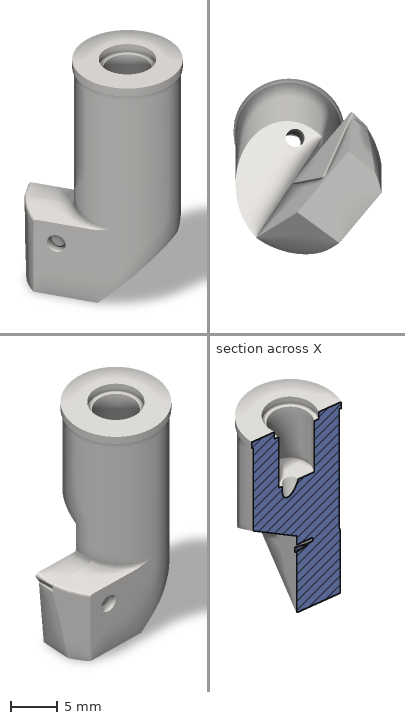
import cadquery as cq
import math


total_height = 28.0
collar_diameter = 12.0
collar_radius = collar_diameter / 2
collar_height = 1.0
shank_radius = 5.8
bore_radius = 2.6
bore_floor = 19.6
counterbore_radius = 3.1
counterbore_depth = 1.0

coolant_radius = 1.0
coolant_start = cq.Vector(-1.43, 0.8, bore_floor)
coolant_exit = cq.Vector(-3.85, 2.15, 14.28)
coolant_overrun = 1.4

insert_inscribed_radius = 3.15
insert_thickness = 2.38
insert_corner_radius = 0.4
relief_angle = 7.0
insert_face = 0.25
insert_x = -6.2
insert_z = 6.8
insert_back = insert_face - insert_thickness
insert_half_side = insert_inscribed_radius * math.sqrt(3)
insert_top = insert_z + insert_inscribed_radius
relief_slope = math.tan(math.radians(relief_angle))
insert_back_top = insert_top - insert_thickness * relief_slope

shelf_height = 9.97
shelf_fillet = 0.5
relief_top_fillet = 0.35
pocket_ceiling = 10.1
corner_relief_x = -10.65
corner_relief_floor = 8.68
front_corner_x = -8.82
heel_x = -1.45
heel_angle = 45.0
flank_x = -10.45
flank_slope_z = -0.08
flank_slope_y = -0.04
curve_start = (-11.03, insert_back)
curve_middle = (-10.28, -3.8)
curve_end = (front_corner_x, -shank_radius)

gullet_height = 10.7
gullet_slope_x = -0.58
gullet_slope_y = 0.63

screw_z = 6.65
screw_radius = 1.05
screw_head_radius = 1.8
screw_tip_chamfer = 0.35
screw_tip_recess = 0.75

margin = 16.8


def box(x_min, x_max, y_min, y_max, z_min, z_max):
    return cq.Workplane("XY").box(
        x_max - x_min, y_max - y_min, z_max - z_min, centered=False
    ).translate((x_min, y_min, z_min))


def insert_body():
    """Triangular prism that narrows from its +Y face by the relief angle."""
    outline = (
        cq.Sketch()
        .polygon([
            (-insert_half_side, insert_inscribed_radius),
            (insert_half_side, insert_inscribed_radius),
            (0, -2 * insert_inscribed_radius),
            (-insert_half_side, insert_inscribed_radius),
        ])
        .vertices()
        .fillet(insert_corner_radius)
    )
    return (
        cq.Workplane("XZ", origin=(insert_x, insert_face, insert_z))
        .placeSketch(outline)
        .extrude(insert_thickness, taper=relief_angle)
    )


def screw_body():
    """Countersunk screw, head flush with the insert, chamfered tip."""
    head_depth = screw_head_radius - screw_radius
    tip = -shank_radius + screw_tip_recess
    return (
        cq.Workplane("XY")
        .moveTo(0, insert_face)
        .lineTo(screw_head_radius, insert_face)
        .lineTo(screw_radius, insert_face - head_depth)
        .lineTo(screw_radius, tip + screw_tip_chamfer)
        .lineTo(screw_radius - screw_tip_chamfer, tip)
        .lineTo(0, tip)
        .close()
        .revolve(360, (0, 0, 0), (0, 1, 0))
        .translate((insert_x, 0, screw_z))
    )


def plain_shank():
    return cq.Workplane("XY").circle(shank_radius).extrude(total_height)


def collar():
    return (
        cq.Workplane("XY", origin=(0, 0, total_height - collar_height))
        .circle(collar_radius)
        .extrude(collar_height)
    )


def shank_on_shelf():
    """Shank standing on a wide sloping slab and blended into it all round."""
    rise = margin * relief_slope
    slab = (
        cq.Workplane("YZ", origin=(-margin, 0, 0))
        .polyline([
            (-margin, 0),
            (margin, 0),
            (margin, shelf_height + rise),
            (-margin, shelf_height - rise),
        ])
        .close()
        .extrude(2 * margin)
    )
    foot = cq.selectors.BoxSelector(
        (-shank_radius, -shank_radius, shelf_height - rise),
        (shank_radius, shank_radius, shelf_height + rise),
    )
    return slab.union(plain_shank()).edges(foot).edges("not %LINE").fillet(shelf_fillet)


def head_body():
    """Front left quarter of the blended slab, with the curved flank on its left."""
    outline = (
        cq.Workplane("XY")
        .lineTo(-margin, 0)
        .lineTo(-margin, insert_back)
        .lineTo(*curve_start)
        .threePointArc(curve_middle, curve_end)
        .lineTo(0, -shank_radius)
        .close()
        .extrude(total_height)
    )
    head = shank_on_shelf().intersect(outline)
    curved_edge = cq.selectors.BoxSelector(
        (-margin, -shank_radius, shelf_height - shank_radius * relief_slope),
        (front_corner_x, insert_back, shelf_height),
    )
    return head.edges(curved_edge).edges("not %LINE").fillet(relief_top_fillet)


def flank_waste():
    """Everything to the left of the flat flank."""
    normal = cq.Vector(-1, flank_slope_y, flank_slope_z)
    plane = cq.Plane(origin=(flank_x, 0, 0), xDir=(0, 0, 1), normal=normal)
    left = cq.Workplane(plane).rect(4 * margin, 4 * margin).extrude(margin)
    return left.intersect(box(-2 * margin, front_corner_x, -margin, margin, 0, pocket_ceiling))


def gullet_waste():
    """Everything on the +Y side of the chip face below the sloping roof."""
    normal = cq.Vector(gullet_slope_x, gullet_slope_y, -1)
    plane = cq.Plane(origin=(0, 0, gullet_height), xDir=(1, 0, gullet_slope_x), normal=normal)
    below = cq.Workplane(plane).rect(4 * margin, 4 * margin).extrude(2 * margin)
    return below.intersect(box(-margin, margin, 0, margin, -margin, total_height))


def heel_waste():
    """Slanted cut across the heel, opposite the insert."""
    heel_top = margin * math.tan(math.radians(heel_angle))
    return (
        cq.Workplane("XZ", origin=(0, margin, 0))
        .polyline([(heel_x, 0), (heel_x + margin, 0), (heel_x + margin, heel_top)])
        .close()
        .extrude(2 * margin)
    )


def coolant_passage():
    """Stepped bore from the top and the slanted hole into the gullet."""
    bore = cq.Workplane("XY", origin=(0, 0, bore_floor)).circle(bore_radius).extrude(total_height)
    step = (
        cq.Workplane("XY", origin=(0, 0, total_height - counterbore_depth))
        .circle(counterbore_radius)
        .extrude(counterbore_depth)
    )
    path = coolant_exit - coolant_start
    start = coolant_start - path.normalized() * coolant_overrun
    hole = cq.Solid.makeCylinder(coolant_radius, path.Length + 2 * coolant_overrun, start, path)
    hole = cq.Workplane(hole).intersect(box(-margin, margin, -margin, margin, 0, bore_floor))
    return bore.union(step).union(hole)


def insert_pocket(insert):
    """Seat of the insert, with clearance above its upper edge and around its corner."""
    clearance = box(
        -margin, insert_x + insert_half_side - insert_corner_radius,
        insert_back, 0,
        insert_back_top, pocket_ceiling,
    )
    corner_relief = box(-margin, corner_relief_x, insert_back, 0, corner_relief_floor, pocket_ceiling)
    return clearance.union(corner_relief).union(insert)


def holder_body(insert):
    holder = head_body().union(plain_shank()).union(collar())
    holder = holder.cut(flank_waste())
    holder = holder.cut(gullet_waste()).cut(heel_waste()).cut(coolant_passage())
    screw_hole = (
        cq.Workplane("XZ", origin=(insert_x, 0, screw_z)).circle(screw_radius).extrude(margin)
    )
    return holder.cut(insert_pocket(insert)).cut(screw_hole)


insert_blank = insert_body()
screw = screw_body()
holder = holder_body(insert_blank)
insert = insert_blank.cut(screw)

result = cq.Compound.makeCompound([holder.val(), insert.val(), screw.val()])